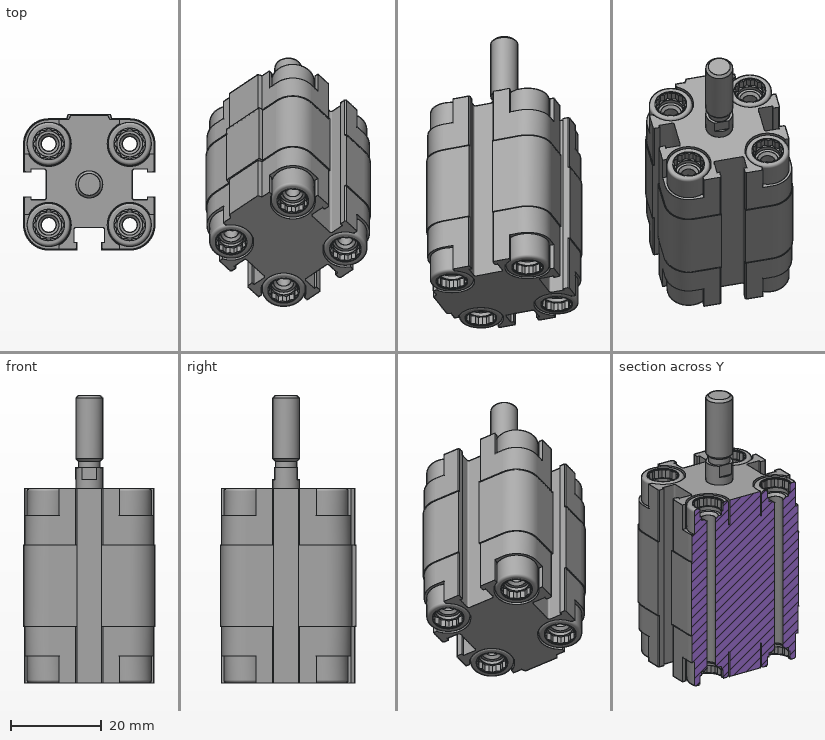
import cadquery as cq
import math

total_height = 63.5
body_height = 43.0
cap_height = 12.5
barrel_height = body_height - 2 * cap_height

barrel_width = 29.0
overall_depth = 30.0
cap_width = 28.6
barrel_half_width = barrel_width / 2
cap_half_width = cap_width / 2
screw_offset = 8.95

barrel_ridge_top = overall_depth - barrel_half_width
barrel_ridge_half_base = 4.95
barrel_ridge_half_top = 4.7
cap_ridge_top = 15.2
cap_ridge_half_base = 4.6
cap_ridge_half_top = 4.1

slot_floor = 9.5
slot_lip = 12.8
slot_half_width = 3.35
slot_floor_fillet = 0.4
lip_half_gap = 2.7
cap_lip_chamfer = 0.25
slot_angles = (0, 90, -90)

collar_diameter = 9.5
collar_height = 6.0
collar_fillet = 0.65
moat_diameter = 10.0
corner_cut_reach = 2.3

socket_rim_diameter = 7.0
socket_rim_depth = 0.25
socket_corner_diameter = 6.85
socket_hexagon_turns = (0, 30)
socket_depth = 2.15
bore_diameter = 5.7
bore_depth = 3.05
countersink_diameter = 4.5
countersink_depth = 0.65
through_diameter = 3.25

rod_diameter = 6.0
thread_length = 14.55
thread_top_chamfer = 0.6
rod_neck_diameter = 4.75
neck_length = 1.4
thread_end_chamfer = (rod_diameter - rod_neck_diameter) / 2
flats_width = 5.0
flats_length = 2.65

screw_points = [(sx * screw_offset, sy * screw_offset) for sx in (-1, 1) for sy in (-1, 1)]


def profile_block(half_width, ridge_half_base, ridge_half_top, ridge_top, height):
    """Rounded square with the +Y ridge and the T slots, extruded up from Z = 0."""
    block = (
        cq.Workplane("XY")
        .rect(2 * half_width, 2 * half_width)
        .extrude(height)
        .edges("|Z")
        .fillet(half_width - screw_offset)
    )
    ridge = (
        cq.Workplane("XY")
        .moveTo(-ridge_half_base, 0)
        .lineTo(-ridge_half_base, half_width)
        .lineTo(-ridge_half_top, ridge_top)
        .lineTo(ridge_half_top, ridge_top)
        .lineTo(ridge_half_base, half_width)
        .lineTo(ridge_half_base, 0)
        .close()
        .extrude(height)
    )
    block = block.union(ridge)
    chamber_length = slot_lip - slot_floor
    mouth_length = half_width - slot_floor
    chamber = (
        cq.Workplane("XY")
        .center(0, -slot_floor - chamber_length / 2)
        .rect(2 * slot_half_width, chamber_length)
        .extrude(height)
        .edges("|Z and >Y")
        .fillet(slot_floor_fillet)
    )
    mouth = (
        cq.Workplane("XY")
        .center(0, -slot_floor - mouth_length / 2)
        .rect(2 * lip_half_gap, mouth_length)
        .extrude(height)
    )
    slot = chamber.union(mouth)
    for angle in slot_angles:
        block = block.cut(slot.rotate((0, 0, 0), (0, 0, 1), angle))
    return block


def corner_relief(x_side, y_side):
    """Space around one collar: a ring-shaped moat and the open outer corner of the cap."""
    span = 2 * collar_diameter
    shift = span / 2 - corner_cut_reach
    floor = cap_height - collar_height
    relief = (
        cq.Workplane("XY", origin=(x_side * shift, y_side * shift, floor))
        .rect(span, span)
        .extrude(collar_height)
        .union(cq.Workplane("XY", origin=(0, 0, floor)).circle(moat_diameter / 2).extrude(collar_height))
    )
    collar = (
        cq.Workplane("XY")
        .circle(collar_diameter / 2)
        .extrude(cap_height)
        .faces(">Z")
        .edges()
        .fillet(collar_fillet)
    )
    return relief.cut(collar).translate((x_side * screw_offset, y_side * screw_offset, 0))


def screw_hole():
    """Twelve-point socket, round bore, countersink and through hole, with the mouth at cap height."""
    bore_floor = cap_height - bore_depth
    hole = cq.Workplane("XY").circle(through_diameter / 2).extrude(cap_height)
    bore = cq.Workplane("XY", origin=(0, 0, bore_floor)).circle(bore_diameter / 2).extrude(bore_depth)
    countersink = cq.Workplane(
        cq.Solid.makeCone(
            through_diameter / 2,
            countersink_diameter / 2,
            countersink_depth,
            pnt=cq.Vector(0, 0, bore_floor - countersink_depth),
        )
    )
    rim = (
        cq.Workplane("XY", origin=(0, 0, cap_height - socket_rim_depth))
        .circle(socket_rim_diameter / 2)
        .extrude(socket_rim_depth)
    )
    hole = hole.union(bore).union(countersink).union(rim)
    hexagon = (
        cq.Workplane("XY", origin=(0, 0, cap_height - socket_depth))
        .polygon(6, socket_corner_diameter)
        .extrude(socket_depth)
    )
    for angle in socket_hexagon_turns:
        hole = hole.union(hexagon.rotate((0, 0, 0), (0, 0, 1), angle))
    return hole


def cap_lip_bevel():
    """Trapezoid prism that bevels the outer lip edges of the -Y slot of a cap."""
    face = cap_half_width
    return (
        cq.Workplane("XY")
        .moveTo(-lip_half_gap, cap_lip_chamfer - face)
        .lineTo(lip_half_gap, cap_lip_chamfer - face)
        .lineTo(lip_half_gap + cap_lip_chamfer, -face)
        .lineTo(-lip_half_gap - cap_lip_chamfer, -face)
        .close()
        .extrude(cap_height)
    )


def end_cap():
    """Upper end cap, standing on Z = 0 with its collars upward."""
    cap = profile_block(
        cap_half_width,
        cap_ridge_half_base,
        cap_ridge_half_top,
        cap_ridge_top,
        cap_height,
    )
    for angle in slot_angles:
        cap = cap.cut(cap_lip_bevel().rotate((0, 0, 0), (0, 0, 1), angle))
    hole = screw_hole()
    for x, y in screw_points:
        cap = cap.cut(corner_relief(math.copysign(1, x), math.copysign(1, y)))
        cap = cap.cut(hole.translate((x, y, 0)))
    return cap


def make_housing():
    """Barrel between two mirrored end caps, with four holes running right through."""
    barrel = (
        profile_block(
            barrel_half_width,
            barrel_ridge_half_base,
            barrel_ridge_half_top,
            barrel_ridge_top,
            barrel_height,
        )
        .translate((0, 0, cap_height))
        .cut(cq.Workplane("XY").pushPoints(screw_points).circle(through_diameter / 2).extrude(body_height))
    )
    cap = end_cap()
    upper_cap = cap.translate((0, 0, body_height - cap_height))
    lower_cap = cap.mirror("XY").translate((0, 0, cap_height))
    return barrel.union(upper_cap).union(lower_cap)


def make_rod():
    """Piston rod end: wrench flats, neck and thread cylinder, standing on the housing's top face."""
    radius = rod_diameter / 2
    neck_radius = rod_neck_diameter / 2
    thread_base = total_height - thread_length
    shoulder = thread_base - neck_length
    rod = (
        cq.Workplane("XZ")
        .moveTo(0, body_height)
        .lineTo(radius, body_height)
        .lineTo(radius, shoulder)
        .lineTo(neck_radius, shoulder)
        .lineTo(neck_radius, thread_base)
        .lineTo(radius, thread_base + thread_end_chamfer)
        .lineTo(radius, total_height - thread_top_chamfer)
        .lineTo(radius - thread_top_chamfer, total_height)
        .lineTo(0, total_height)
        .close()
        .revolve(360, (0, 0, 0), (0, 1, 0))
    )
    for side in (-1, 1):
        flat_cut = (
            cq.Workplane("XY", origin=(0, side * (flats_width + rod_diameter) / 2, shoulder - flats_length))
            .rect(rod_diameter, rod_diameter)
            .extrude(flats_length)
        )
        rod = rod.cut(flat_cut)
    return rod


housing = make_housing()
rod = make_rod()
result = cq.Compound.makeCompound([housing.val(), rod.val()])